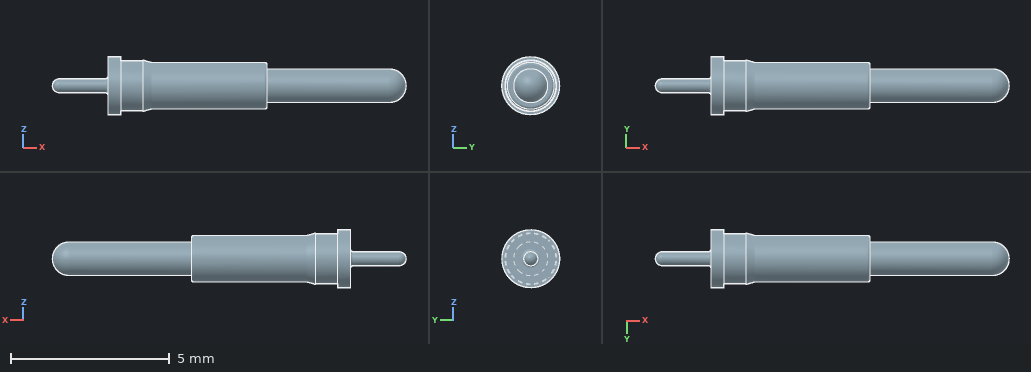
import cadquery as cq
import math

total_length = 11.15

tail_radius = 0.22
flange_radius = 0.91
neck_radius = 0.79
rim_radius = 0.81
barrel_radius = 0.74
plunger_radius = 0.54

flange_start = 1.75
flange_end = 2.16
neck_end = 2.87
taper_end = 3.13
barrel_end = 6.77

tail_fillet = 0.08
barrel_round = 0.08

tail_center = -total_length / 2 + tail_radius
plunger_center = total_length / 2 - plunger_radius
diagonal = math.sqrt(0.5)


def along(distance):
    """X position at a distance from the tail tip, with the part centred on the origin."""
    return distance - total_length / 2


profile = (
    cq.Workplane("XY")
    .moveTo(along(0), 0)
    .threePointArc(
        (tail_center - tail_radius * diagonal, tail_radius * diagonal),
        (tail_center, tail_radius),
    )
    .lineTo(along(flange_start) - tail_fillet, tail_radius)
    .threePointArc(
        (
            along(flange_start) - tail_fillet * (1 - diagonal),
            tail_radius + tail_fillet * (1 - diagonal),
        ),
        (along(flange_start), tail_radius + tail_fillet),
    )
    .lineTo(along(flange_start), flange_radius)
    .lineTo(along(flange_end), flange_radius)
    .lineTo(along(flange_end), neck_radius)
    .lineTo(along(neck_end), neck_radius)
    .lineTo(along(neck_end), rim_radius)
    .lineTo(along(taper_end), barrel_radius)
    .lineTo(along(barrel_end) - barrel_round, barrel_radius)
    .threePointArc(
        (
            along(barrel_end) - barrel_round * (1 - diagonal),
            barrel_radius - barrel_round * (1 - diagonal),
        ),
        (along(barrel_end), barrel_radius - barrel_round),
    )
    .lineTo(along(barrel_end), plunger_radius)
    .lineTo(plunger_center, plunger_radius)
    .threePointArc(
        (plunger_center + plunger_radius * diagonal, plunger_radius * diagonal),
        (along(total_length), 0),
    )
    .close()
)

result = profile.revolve(360, (0, 0, 0), (1, 0, 0))